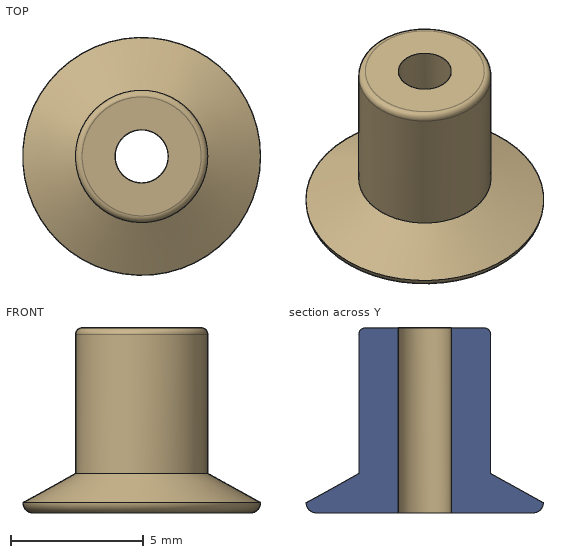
import cadquery as cq
import math

flange_diameter = 9.0
stem_diameter = 5.0
bore_diameter = 2.0
total_height = 7.01
cone_top_height = 1.5
rim_radius = 0.4
stem_edge_radius = 0.25

flange_radius = flange_diameter / 2
stem_radius = stem_diameter / 2
bore_radius = bore_diameter / 2


def polar_point(center, radius, angle):
    """Return the point at an angle in degrees on a circle."""
    x, z = center
    direction = math.radians(angle)
    return (x + radius * math.cos(direction), z + radius * math.sin(direction))


def quarter_arc(sketch, center, radius, start_angle):
    """Add a counterclockwise quarter circle from the sketch's current point."""
    middle = polar_point(center, radius, start_angle + 45)
    end = polar_point(center, radius, start_angle + 90)
    return sketch.threePointArc(middle, end)


profile = cq.Workplane("XZ").moveTo(bore_radius, 0).lineTo(flange_radius - rim_radius, 0)
profile = quarter_arc(profile, (flange_radius - rim_radius, rim_radius), rim_radius, -90)
profile = (
    profile
    .lineTo(stem_radius, cone_top_height)
    .lineTo(stem_radius, total_height - stem_edge_radius)
)
stem_edge_center = (stem_radius - stem_edge_radius, total_height - stem_edge_radius)
profile = quarter_arc(profile, stem_edge_center, stem_edge_radius, 0)
profile = profile.lineTo(bore_radius, total_height).close()

result = profile.revolve(360, (0, 0, 0), (0, 1, 0))